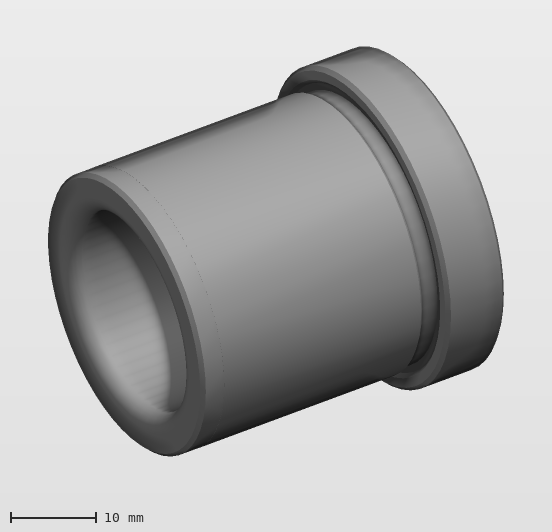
import cadquery as cq

length = 40.0
head_diameter = 40.0
head_thickness = 8.0
head_chamfer = 0.5

body_diameter = 35.0
lead_diameter = 34.95
lead_length = 3.0
body_chamfer = 0.5

relief_diameter = 34.0
relief_width = 1.6
face_groove_diameter = 36.7
face_groove_depth = 0.5

bore_diameter = 25.0
bore_rounding = 2.0

head_radius = head_diameter / 2
body_radius = body_diameter / 2
lead_radius = lead_diameter / 2
relief_radius = relief_diameter / 2
face_groove_radius = face_groove_diameter / 2
bore_radius = bore_diameter / 2

front_y = -length / 2
back_y = length / 2
head_y = back_y - head_thickness
groove_floor_y = head_y + face_groove_depth
relief_y = head_y - relief_width
lead_y = front_y + lead_length

section = (
    cq.Workplane("XY")
    .moveTo(bore_radius + bore_rounding, front_y)
    .lineTo(lead_radius - body_chamfer, front_y)
    .lineTo(lead_radius, front_y + body_chamfer)
    .lineTo(lead_radius, lead_y)
    .lineTo(body_radius, lead_y)
    .lineTo(body_radius, relief_y - body_chamfer)
    .lineTo(relief_radius, relief_y)
    .lineTo(relief_radius, groove_floor_y)
    .lineTo(face_groove_radius - face_groove_depth, groove_floor_y)
    .lineTo(face_groove_radius, head_y)
    .lineTo(head_radius - head_chamfer, head_y)
    .lineTo(head_radius, head_y + head_chamfer)
    .lineTo(head_radius, back_y - head_chamfer)
    .lineTo(head_radius - head_chamfer, back_y)
    .lineTo(bore_radius, back_y)
    .lineTo(bore_radius, front_y + bore_rounding)
    .radiusArc((bore_radius + bore_rounding, front_y), -bore_rounding)
    .close()
)

result = section.revolve(360, (0, 0, 0), (0, 1, 0))